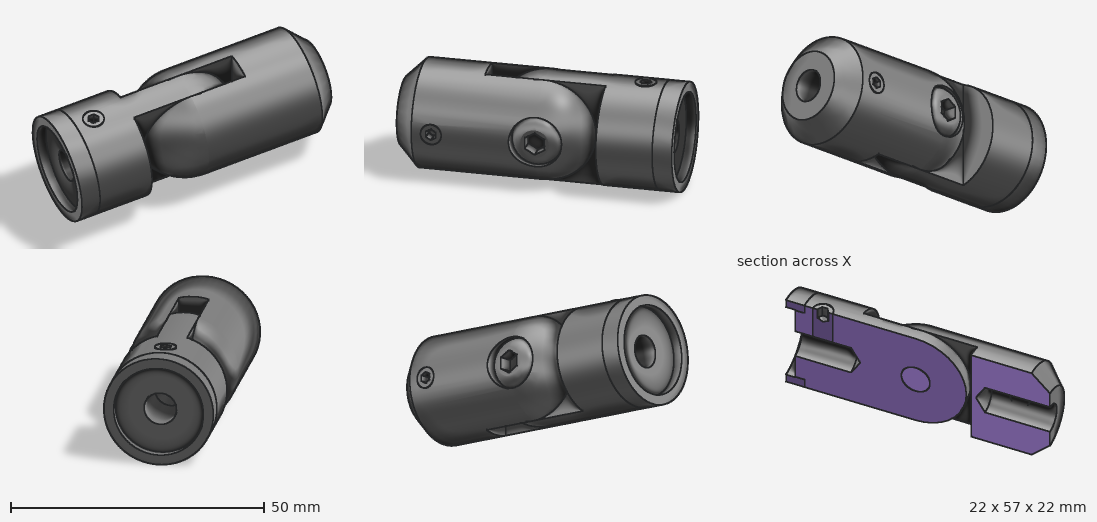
import cadquery as cq
import math


RADIUS = 11.0
FORK_LENGTH = 29.0
FRONT_LENGTH = 57 - FORK_LENGTH
TONGUE_WIDTH = 6.0
SLOT_DEPTH = 11.95
SHOULDER = 12.55
NOSE_CHAMFER = 4.0

RING_LENGTH = 4.0
RING_BORE_RADIUS = 9.0
FACE_RECESS = 2.0

BORE_RADIUS = 3.25
BORE_DEPTH = 14.0
DRILL_ANGLE = 118

SET_SCREW_RADIUS = 2.1
SET_SCREW_LENGTH = RADIUS - BORE_RADIUS
SET_SCREW_INSET = 8.0
SET_SOCKET_FLATS = 2.0
SET_SOCKET_DEPTH = 2.3

HEAD_RADIUS = 5.25
HEAD_SEAT = 7.4
HEAD_HEIGHT = 3.3
HEAD_FLAT_RADIUS = 2.9
DOME_RADIUS = 3.0
SHANK_RADIUS = 3.0
SHANK_LENGTH = 2 * HEAD_SEAT
PIVOT_SOCKET_FLATS = 4.0
PIVOT_SOCKET_DEPTH = 2.95


def cylinder(start, direction, radius, length):
    return cq.Workplane(cq.Solid.makeCylinder(radius, length, cq.Vector(*start), cq.Vector(*direction)))


def drill_point(start, direction, radius):
    """Cone that ends a drilled hole of the given radius."""
    height = radius / math.tan(math.radians(DRILL_ANGLE / 2))
    return cq.Workplane(cq.Solid.makeCone(radius, 0, height, cq.Vector(*start), cq.Vector(*direction)))


def hex_prism(flats, depth):
    """Hexagon at the origin, corners on the X axis, extruded down."""
    corner_circle = flats / math.cos(math.pi / 6)
    return cq.Workplane("XY").polygon(6, corner_circle).extrude(-depth)


def face_left(body):
    """Turn a body whose top faces +Z so that its top faces -X."""
    return body.rotate((0, 0, 0), (0, 1, 0), -90)


def rod_bore(end):
    """Blind bore with a drilled bottom, running in from the end plane at Y = end."""
    inward = -math.copysign(1, end)
    bore = cylinder((0, end, 0), (0, inward, 0), BORE_RADIUS, BORE_DEPTH)
    return bore.union(drill_point((0, end + inward * BORE_DEPTH, 0), (0, inward, 0), BORE_RADIUS))


def rounded_bar(length, direction):
    """Round bar running from the pivot along Y, with a ball end around the pivot."""
    ball = cq.Workplane("XY").sphere(RADIUS)
    return cylinder((0, 0, 0), (0, direction, 0), RADIUS, length).union(ball)


def set_screw():
    """Upright screw on the Z axis, its top at the outer radius."""
    top = (0, 0, RADIUS)
    screw = cylinder(top, (0, 0, -1), SET_SCREW_RADIUS, SET_SCREW_LENGTH)
    socket = hex_prism(SET_SOCKET_FLATS, SET_SOCKET_DEPTH).translate(top)
    socket_end = drill_point((0, 0, RADIUS - SET_SOCKET_DEPTH), (0, 0, -1), SET_SOCKET_FLATS / 2)
    return screw.cut(socket).cut(socket_end)


def set_screw_hole():
    """Upright hole on the Z axis, from the outer radius to the bore wall."""
    return cylinder((0, 0, RADIUS), (0, 0, -1), SET_SCREW_RADIUS, SET_SCREW_LENGTH)


def place_rear(body):
    """Move an upright set screw or its hole to the -X side of the fork."""
    return face_left(body).translate((0, FORK_LENGTH - SET_SCREW_INSET, 0))


def place_front(body):
    """Move an upright set screw or its hole to the top of the tongue, socket corners along Y."""
    return body.rotate((0, 0, 0), (0, 0, 1), 90).translate((0, SET_SCREW_INSET - FRONT_LENGTH, 0))


def pivot_screw():
    """Turned about Z with the head up, then laid along X with the head on the -X side."""
    head_top = HEAD_SEAT + HEAD_HEIGHT
    flat_to_dome_centre = DOME_RADIUS - HEAD_RADIUS + HEAD_FLAT_RADIUS
    rim_top = head_top - math.sqrt(DOME_RADIUS**2 - flat_to_dome_centre**2)
    shank_end = HEAD_SEAT - SHANK_LENGTH
    screw = (
        cq.Workplane("XZ")
        .moveTo(0, shank_end)
        .lineTo(SHANK_RADIUS, shank_end)
        .lineTo(SHANK_RADIUS, HEAD_SEAT)
        .lineTo(HEAD_RADIUS, HEAD_SEAT)
        .lineTo(HEAD_RADIUS, rim_top)
        .radiusArc((HEAD_FLAT_RADIUS, head_top), -DOME_RADIUS)
        .lineTo(0, head_top)
        .close()
        .revolve(360, (0, 0, 0), (0, 1, 0))
    )
    socket = hex_prism(PIVOT_SOCKET_FLATS, PIVOT_SOCKET_DEPTH).translate((0, 0, head_top))
    return face_left(screw.cut(socket))


def pivot_hole():
    """Counterbored hole that takes the pivot screw, entered from -X."""
    seat = (-HEAD_SEAT, 0, 0)
    shank_hole = cylinder(seat, (1, 0, 0), SHANK_RADIUS, SHANK_LENGTH)
    return shank_hole.union(cylinder(seat, (-1, 0, 0), HEAD_RADIUS, RADIUS))


def end_ring():
    """Separate ring around the spigot at the front end."""
    front = (0, -FRONT_LENGTH, 0)
    ring = cylinder(front, (0, 1, 0), RADIUS, RING_LENGTH)
    return ring.cut(cylinder(front, (0, 1, 0), RING_BORE_RADIUS, RING_LENGTH))


def fork():
    """Rear body: slotted, ball-ended bar with a coned rear end."""
    bar = rounded_bar(FORK_LENGTH, 1).faces(">Y").chamfer(NOSE_CHAMFER)
    slot = cq.Workplane("XY").box(TONGUE_WIDTH, 2 * SLOT_DEPTH, 2 * RADIUS)
    return bar.cut(slot).cut(pivot_hole()).cut(rod_bore(FORK_LENGTH)).cut(place_rear(set_screw_hole()))


def tongue():
    """Front body: a ball-ended tongue on a round body, stepped down to the spigot."""
    bar = rounded_bar(FRONT_LENGTH - FACE_RECESS, -1)
    cheek_length = SHOULDER + RADIUS
    cheek_middle = (RADIUS - SHOULDER) / 2
    cheek = cq.Workplane("XY").box(RADIUS, cheek_length, 2 * RADIUS)
    for side in (-1, 1):
        bar = bar.cut(cheek.translate((side * (TONGUE_WIDTH + RADIUS) / 2, cheek_middle, 0)))
    bar = bar.cut(end_ring())
    return bar.cut(pivot_hole()).cut(rod_bore(-FRONT_LENGTH)).cut(place_front(set_screw_hole()))


set_screws = [place(set_screw()) for place in (place_rear, place_front)]

result = cq.Compound.makeCompound([
    fork().val(),
    tongue().val(),
    end_ring().val(),
    pivot_screw().val(),
    *[screw.val() for screw in set_screws],
])